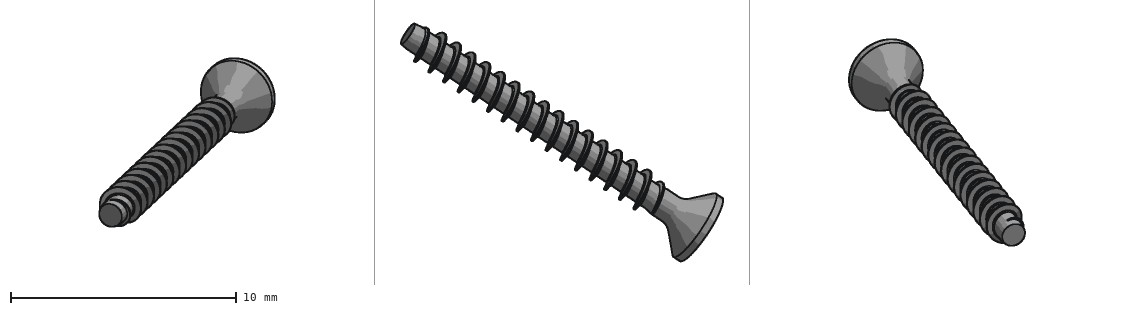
import cadquery as cq
import math

length = 16.0
tip_radius = 0.55
tip_taper = 0.32
core_radius = 0.6

head_radius = 1.7
rim_depth = 0.35
shank_radius = 0.65
neck_radius = 0.86
cone_end = rim_depth + head_radius - neck_radius
neck_end = 1.6
shank_end = 2.29
core_start = 2.64

pitch = 0.8
phase_depth = 1.8
crest_radius = 0.91
root_radius = 0.48
root_width = 0.45
flare_radius = 0.65
flare_width = 0.2
crest_width = 0.08
flare_share = (flare_radius - root_radius) / (crest_radius - root_radius)

buried_radius = 0.53
rise_start = 1.89
rise_end = 3.0
fade_start = 14.95
fade_end = 15.76

points_per_turn = 24


def make_body():
    """Revolved head, shank and core, without the thread."""
    return (
        cq.Workplane("XZ")
        .lineTo(head_radius, 0)
        .lineTo(head_radius, rim_depth)
        .lineTo(neck_radius, cone_end)
        .tangentArcPoint((shank_radius, neck_end), relative=False)
        .lineTo(shank_radius, shank_end)
        .lineTo(core_radius, core_start)
        .lineTo(core_radius, length - tip_taper)
        .lineTo(tip_radius, length)
        .lineTo(0, length)
        .close()
        .revolve(360, (0, 0, 0), (0, 1, 0))
    )


def crest_radius_at(depth):
    """Radius of the thread crest, tapered at both ends of the thread."""
    rise = (depth - rise_start) / (rise_end - rise_start)
    fade = (fade_end - depth) / (fade_end - fade_start)
    return buried_radius + (crest_radius - buried_radius) * min(1, rise, fade)


def thread_edge(start, end, share, offset):
    """Helical edge at a share of the thread height, offset along the axis."""
    steps = math.ceil((end - start) / pitch * points_per_turn)
    points = []
    for step in range(steps + 1):
        depth = start + (end - start) * step / steps
        angle = 2 * math.pi * (depth - phase_depth) / pitch
        radius = root_radius + share * (crest_radius_at(depth) - root_radius)
        points.append(cq.Vector(radius * math.cos(angle), radius * math.sin(angle), depth + offset))
    return cq.Edge.makeSpline(points)


def make_thread():
    """Solid ridge bounded by ruled helical strips and a flat cap at each end."""
    profile = [
        (0, -root_width / 2),
        (flare_share, -flare_width / 2),
        (1, -crest_width / 2),
        (1, crest_width / 2),
        (flare_share, flare_width / 2),
        (0, root_width / 2),
    ]
    stretches = [(rise_start, rise_end), (rise_end, fade_start), (fade_start, fade_end)]
    faces = []
    for start, end in stretches:
        edges = [thread_edge(start, end, share, offset) for share, offset in profile]
        for first, second in zip(edges, edges[1:] + edges[:1]):
            faces.append(cq.Face.makeRuledSurface(first, second))
        if start == rise_start:
            corners = [edge.startPoint() for edge in edges]
            faces.append(cq.Face.makeFromWires(cq.Wire.makePolygon(corners, close=True)))
        if end == fade_end:
            corners = [edge.endPoint() for edge in edges]
            faces.append(cq.Face.makeFromWires(cq.Wire.makePolygon(corners, close=True)))
    return cq.Solid.makeSolid(cq.Shell.makeShell(faces))


screw = make_body().union(cq.Workplane(make_thread()))
result = screw.rotate((0, 0, 0), (1, 0, 0), 90)